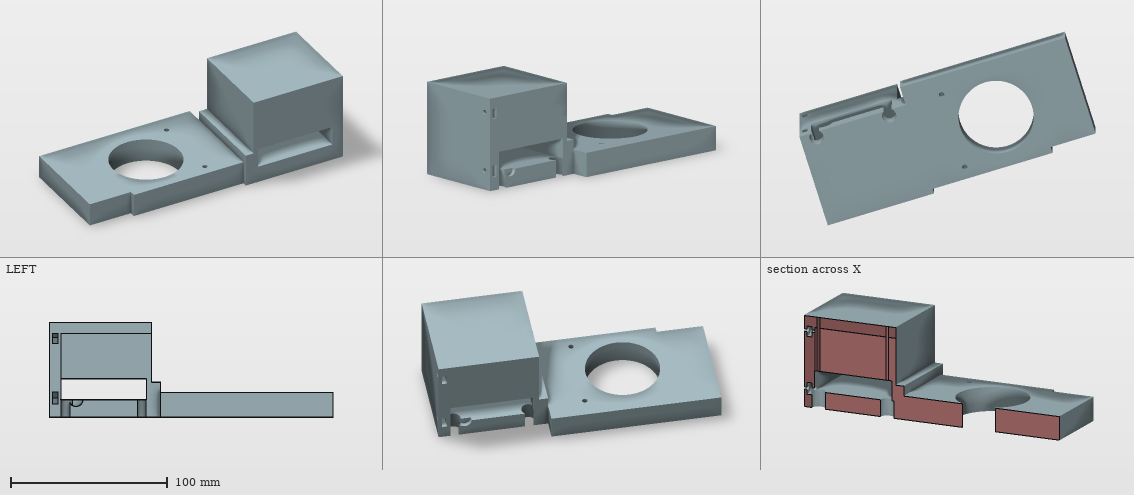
import cadquery as cq
import math

plate_width = 70.0
plate_length = 110.0
plate_height = 16.0
relief_width = 4.0
relief_length = 30.0
bore_diameter = 48.0
bore_x = 36.9
bore_y = 57.3
mount_diameter = 3.5
mount_spacing = 50.0
mount_middle_x = 37.5
mount_y = 86.1

total_length = 180.9
total_height = 60.6
box_right = 73.0
box_width = 61.0
box_left = box_right - box_width
ledge_depth = 5.8
ledge_height = 22.5
box_front = plate_length + ledge_depth
front_wall = 3.3
floor_height = 11.4
window_height = 13.2
window_front = box_front + front_wall
window_top = floor_height + window_height

top_thickness = 7.0
rear_thickness = 7.6
box_top = total_height - top_thickness
box_back = total_length - rear_thickness

pin_diameter = 1.8
pin_inset = 3.6
pin_x = box_left + pin_inset
pin_rear_inset = 10.3
pin_spacing = 48.5
pin_rear_y = total_length - pin_rear_inset
pin_places = [(pin_x, pin_rear_y), (pin_x, pin_rear_y - pin_spacing)]
clearance_diameter = 9.0

recess_y = total_length - 17.0
recess_depth = 2.7
recess_diameter = 8.9

nut_flats = 7.6
nut_thickness = 3.3
nut_inset = 2.2
nut_x = box_left + 5.2
nut_back = total_length - nut_inset
lower_nut_z = 12.5
upper_nut_z = 50.8
screw_diameter = 3.0


def block(x_range, y_range, z_range):
    """Axis-aligned block between the given limits."""
    (x0, x1), (y0, y1), (z0, z1) = x_range, y_range, z_range
    return cq.Workplane("XY").box(x1 - x0, y1 - y0, z1 - z0, centered=False).translate((x0, y0, z0))


def upright_cylinders(places, diameter, bottom, top):
    """Vertical cylinders at the given XY places."""
    return (
        cq.Workplane("XY", origin=(0, 0, bottom))
        .pushPoints(places)
        .circle(diameter / 2)
        .extrude(top - bottom)
    )


def make_pins():
    return upright_cylinders(pin_places, pin_diameter, window_top, total_height)


def make_clearance():
    return upright_cylinders(pin_places, clearance_diameter, 0, floor_height)


def make_plate():
    plate = block((0, plate_width), (0, plate_length), (0, plate_height))
    relief = block((plate_width - relief_width, plate_width), (0, relief_length), (0, plate_height))
    mount_places = [(mount_middle_x + side * mount_spacing / 2, mount_y) for side in (-1, 1)]
    bore = upright_cylinders([(bore_x, bore_y)], bore_diameter, 0, plate_height)
    mounts = upright_cylinders(mount_places, mount_diameter, 0, plate_height)
    return plate.cut(relief).cut(bore).cut(mounts)


def make_box():
    width = (box_left, box_right)
    ledge = block(width, (plate_length, box_front), (0, ledge_height))
    body = block(width, (box_front, box_back), (0, box_top))
    window = block(width, (window_front, box_back), (floor_height, window_top))
    recess = (
        cq.Workplane("YZ", origin=(box_left, recess_y, floor_height))
        .circle(recess_diameter / 2)
        .extrude(recess_depth)
    )
    return body.union(ledge).cut(window).cut(recess)


def make_housing():
    """Plate and box in one piece."""
    return make_plate().union(make_box()).cut(make_clearance()).cut(make_pins())


def nut_slot(height):
    """Hexagonal nut seat, widened into a slot that opens on the left face."""
    nut_corners = nut_flats / math.cos(math.pi / 6)
    seat = (
        cq.Workplane("XZ", origin=(nut_x, nut_back, height))
        .polygon(6, nut_corners)
        .extrude(nut_thickness)
    )
    entry = block(
        (box_left, nut_x),
        (nut_back - nut_thickness, nut_back),
        (height - nut_flats / 2, height + nut_flats / 2),
    )
    return seat.union(entry)


def screw_hole(height):
    """Hole along Y through the rear wall and the nut seat."""
    return (
        cq.Workplane("XZ", origin=(nut_x, total_length, height))
        .circle(screw_diameter / 2)
        .extrude(rear_thickness)
    )


def make_cover():
    width = (box_left, box_right)
    rear = block(width, (box_back, total_length), (0, box_top))
    for height in (lower_nut_z, upper_nut_z):
        rear = rear.cut(nut_slot(height)).cut(screw_hole(height))
    top = block(width, (box_front, total_length), (box_top, total_height))
    return rear.union(top).cut(make_clearance()).cut(make_pins())


housing = make_housing()
cover = make_cover()
pins = make_pins()

result = cq.Compound.makeCompound([housing.val(), cover.val(), *pins.vals()])